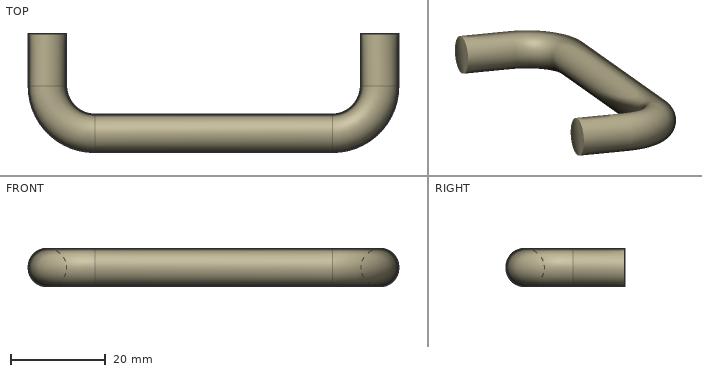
import cadquery as cq
import math

rod_diameter = 8.0
leg_spacing = 70.0
handle_depth = 25.0
bend_radius = 10.0

leg_x = leg_spacing / 2
grip_y = -(handle_depth - rod_diameter / 2)
grip_end_x = leg_x - bend_radius
bend_start_y = grip_y + bend_radius

arc_middle_offset = bend_radius * math.cos(math.radians(45))
arc_middle_x = grip_end_x + arc_middle_offset
arc_middle_y = bend_start_y - arc_middle_offset


def rod_axis():
    """U-shaped centre line: leg, bend, grip, bend, leg."""
    return (
        cq.Workplane("XY")
        .moveTo(-leg_x, 0)
        .lineTo(-leg_x, bend_start_y)
        .threePointArc((-arc_middle_x, arc_middle_y), (-grip_end_x, grip_y))
        .lineTo(grip_end_x, grip_y)
        .threePointArc((arc_middle_x, arc_middle_y), (leg_x, bend_start_y))
        .lineTo(leg_x, 0)
    )


def bent_rod():
    """Solid round rod following the centre line, starting at the -X leg end face."""
    leg_end = cq.Workplane("XZ", origin=(-leg_x, 0, 0))
    return leg_end.circle(rod_diameter / 2).sweep(rod_axis())


result = bent_rod()